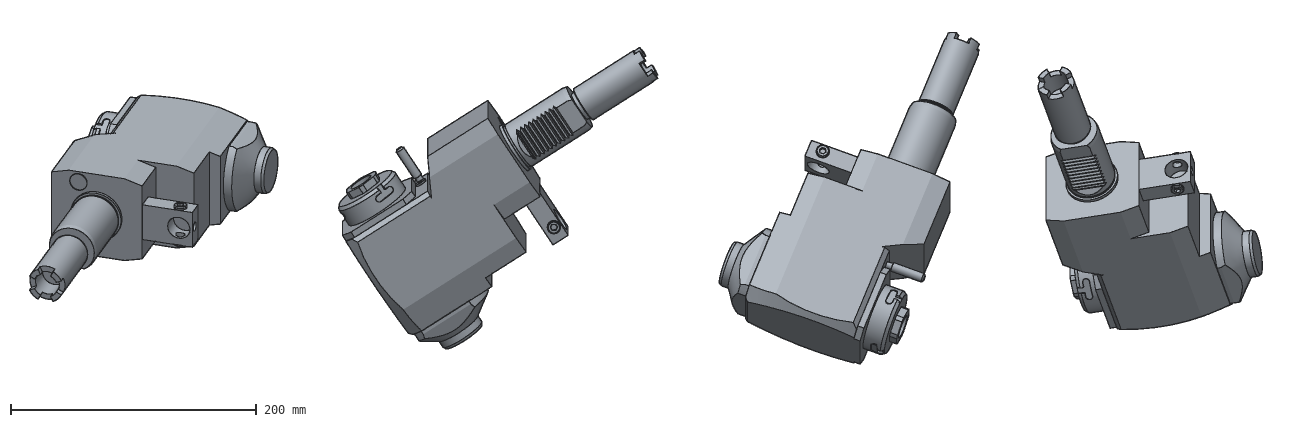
import cadquery as cq
import math

HEIGHT = 75.0
HALF_HEIGHT = HEIGHT / 2
BACK_Y = 153.5
SPINDLE_Y = 119.7
OVERLAP = 1.5

BLOCK_HALF_WIDTH = 39.0
SIDE_SLOPE = math.tan(math.radians(15))
BLOCK_CHAMFER = 15.0
SLANT_START_Y = 58.5
SLANT_END_X = -8.8

HEAD_LEFT = -14.8
HEAD_RIGHT = 81.0
HEAD_FRONT_Y = 34.7
HEAD_STEP_X = 71.5
HEAD_STEP_Y = 74.2
HEAD_LEFT_CHAMFER = 4.0
HEAD_RIGHT_CHAMFER = 24.2
HEAD_CORNER_CHAMFER = 2.8
BACK_CONE_RADIUS = 130.8
BACK_CONE_X = 22.2
BACK_BEVEL = 4.5

PLATE_LEFT = -20.2
PLATE_FRONT_Y = 86.0
PLATE_HALF_HEIGHT = 34.0
PLATE_CORNER = 8.5

NUT_LEFT = -38.0
NUT_RADIUS = 27.5
NUT_CHAMFER_LENGTH = 2.8
NUT_CHAMFER_DEPTH = 2.0
NUT_SLOT_CENTRE_X = -29.5
NUT_SLOT_WIDTH = 5.7
NUT_SLOT_LENGTH = 18.2
NUT_SLOT_DEPTH = 2.3
NUT_GROOVE_WIDTH = 4.8
NUT_SLOT_ANGLES = (29, 149, 269)
HEX_LEFT = -44.3
HEX_ACROSS_FLATS = 27.9
HEX_CORNER_DIAMETER = 30.0
HEX_BORE_DIAMETER = 19.3
HEX_BORE_DEPTH = 6.3

PIN_TIP_X = -47.8
PIN_BACK_X = -20.0
PIN_Y = 80.5
PIN_Z = 17.3
PIN_DIAMETER = 7.5
PIN_CHAMFER = 1.5
PIN_BORE_DIAMETER = 3.5
PIN_BORE_DEPTH = 2.8
PIN_NECK_DIAMETER = 5.7
PLUG_Z = 10.2
PLUG_DIAMETER = 9.5
PLUG_HEIGHT = 1.5
PLUG_HOLE_DIAMETER = 3.5

GUARD_RADIUS = 37.5
GUARD_CYLINDER_END = 88.0
GUARD_CONE_END = 101.0
NOSE_RADIUS = 19.0
NOSE_CHAMFER_START = 107.0
NOSE_END = 109.2
NOSE_TIP_RADIUS = 18.0
GUARD_BACK_FLAT = 29.8
GUARD_FLAT_Z = 29.5
GUARD_FLAT_END = 84.5

COLLAR_RADIUS = 21.5
COLLAR_END_Y = -2.5
SHANK_RADIUS = 20.2
RELIEF_RADIUS = 19.5
RELIEF_END_Y = -4.3
SHANK_CHAMFER_Y = -60.0
SHANK_END_Y = -63.7
SHANK_END_RADIUS = 19.3
NECK_RADIUS = 12.2
NECK_END_Y = -67.0
SPIGOT_RADIUS = 15.0
SPIGOT_EDGE = 0.5
SPIGOT_END_Y = -130.8
SPIGOT_BORE_RADIUS = 10.2
SPIGOT_BORE_DEPTH = 22.7
CLAW_GAP_ROOT_Y = -125.5
CLAW_GAP_ANGLE = 50
CLAW_COUNT = 4

SERRATION_Z = -16.0
SERRATION_FIRST_Y = -12.0
SERRATION_PITCH = 4.0
SERRATION_COUNT = 10
SERRATION_WIDTH = 3.0
SERRATION_DEPTH = 2.0
RAMP_END_Y = -11.5

BRACKET_RIGHT = 82.0
BRACKET_Y = (0.5, 15.3)
BRACKET_HALF_HEIGHT = 16.0
BRACKET_HOLE_X = 70.2
BRACKET_HOLE_DIAMETER = 19.0
SCREW_X = 69.5
SCREW_Y = 6.5
SCREW_DIAMETER = 10.8
SCREW_HEIGHT = 2.3
SCREW_CHAMFER = 0.9
SCREW_SOCKET_DIAMETER = 5.7
SCREW_SOCKET_DEPTH = 2.8
CROSS_DRILL_DIAMETER = 7.5
CROSS_DRILL_HALF_LENGTH = 14.2

INSET_X = -16.0
INSET_Z = 27.9
INSET_DIAMETER = 14.8
INSET_DEPTH = 0.9


def box(x0, x1, y0, y1, z0, z1):
    """Axis-aligned box between the given limits."""
    return cq.Workplane("XY").box(x1 - x0, y1 - y0, z1 - z0, centered=False).translate((x0, y0, z0))


def cylinder_x(x0, x1, y, z, diameter):
    """Cylinder along X between x0 and x1."""
    return cq.Workplane("YZ", origin=(x0, y, z)).circle(diameter / 2).extrude(x1 - x0)


def cylinder_y(y0, y1, x, z, diameter):
    """Cylinder along Y between y0 and y1."""
    return cq.Workplane("XZ", origin=(x, y0, z)).circle(diameter / 2).extrude(y0 - y1)


def chamfered_bar(left, right, left_chamfer, left_drop, right_chamfer, right_drop, y0, y1):
    """Bar along Y of full height with the top and bottom edges bevelled on both sides."""
    top = [
        (left, HALF_HEIGHT - left_drop),
        (left + left_chamfer, HALF_HEIGHT),
        (right - right_chamfer, HALF_HEIGHT),
        (right, HALF_HEIGHT - right_drop),
    ]
    bottom = [(x, -z) for x, z in reversed(top)]
    return cq.Workplane("XZ", origin=(0, y0, 0)).polyline(top + bottom).close().extrude(y0 - y1)


def make_body():
    block_drop = BLOCK_CHAMFER * SIDE_SLOPE
    block = chamfered_bar(
        -BLOCK_HALF_WIDTH, BLOCK_HALF_WIDTH,
        BLOCK_CHAMFER, block_drop, BLOCK_CHAMFER, block_drop, 0, HEAD_STEP_Y,
    )
    head = chamfered_bar(
        HEAD_LEFT, HEAD_RIGHT, HEAD_LEFT_CHAMFER, HEAD_LEFT_CHAMFER,
        HEAD_RIGHT_CHAMFER, HEAD_RIGHT_CHAMFER * SIDE_SLOPE, HEAD_FRONT_Y, BACK_Y,
    )
    head = head.edges("|Z and >X and >Y").chamfer(HEAD_CORNER_CHAMFER)

    waist_radius = BACK_CONE_RADIUS + HALF_HEIGHT
    double_cone = (
        cq.Workplane("XZ")
        .polyline([
            (0, -HALF_HEIGHT), (BACK_CONE_RADIUS, -HALF_HEIGHT), (waist_radius, 0),
            (BACK_CONE_RADIUS, HALF_HEIGHT), (0, HALF_HEIGHT),
        ])
        .close()
        .revolve(360, (0, 0), (0, 1))
        .translate((BACK_CONE_X, BACK_Y - BACK_BEVEL - BACK_CONE_RADIUS, 0))
    )
    head = head.intersect(double_cone)

    shoulder = (
        cq.Workplane("XY", origin=(0, 0, -HALF_HEIGHT))
        .polyline([
            (-BLOCK_HALF_WIDTH, SLANT_START_Y),
            (SLANT_END_X, HEAD_STEP_Y),
            (-BLOCK_HALF_WIDTH, HEAD_STEP_Y),
        ])
        .close()
        .extrude(HEIGHT)
    )
    step = box(HEAD_STEP_X, HEAD_RIGHT, HEAD_FRONT_Y, HEAD_STEP_Y, -HALF_HEIGHT, HALF_HEIGHT)
    inset = cylinder_y(0, INSET_DEPTH, INSET_X, INSET_Z, INSET_DIAMETER)
    return block.union(head).cut(shoulder).cut(step).cut(inset)


def make_plate():
    plate = box(PLATE_LEFT, HEAD_LEFT, PLATE_FRONT_Y, BACK_Y, -PLATE_HALF_HEIGHT, PLATE_HALF_HEIGHT)
    return plate.edges("|X").chamfer(PLATE_CORNER)


def make_nut():
    nut = (
        cq.Workplane("XY")
        .polyline([
            (PLATE_LEFT + OVERLAP, 0),
            (PLATE_LEFT + OVERLAP, NUT_RADIUS),
            (NUT_LEFT + NUT_CHAMFER_LENGTH, NUT_RADIUS),
            (NUT_LEFT, NUT_RADIUS - NUT_CHAMFER_DEPTH),
            (NUT_LEFT, 0),
        ])
        .close()
        .revolve(360, (0, 0), (1, 0))
    )
    floor = NUT_RADIUS - NUT_SLOT_DEPTH
    slot = (
        cq.Workplane("XY", origin=(NUT_SLOT_CENTRE_X, 0, floor))
        .slot2D(NUT_SLOT_LENGTH, NUT_SLOT_WIDTH, 90)
        .extrude(NUT_SLOT_DEPTH)
    )
    groove = box(NUT_LEFT, NUT_SLOT_CENTRE_X, -NUT_GROOVE_WIDTH / 2, NUT_GROOVE_WIDTH / 2, floor, NUT_RADIUS)
    for angle in NUT_SLOT_ANGLES:
        nut = nut.cut(slot.union(groove).rotate((0, 0, 0), (1, 0, 0), angle))

    hexagon = (
        cq.Workplane("YZ", origin=(HEX_LEFT, 0, 0))
        .polygon(6, HEX_ACROSS_FLATS / math.cos(math.pi / 6))
        .extrude(NUT_LEFT + OVERLAP - HEX_LEFT)
        .rotate((0, 0, 0), (1, 0, 0), 30)
        .intersect(cylinder_x(HEX_LEFT, NUT_LEFT + OVERLAP, 0, 0, HEX_CORNER_DIAMETER))
    )
    bore = cylinder_x(HEX_LEFT, HEX_LEFT + HEX_BORE_DEPTH, 0, 0, HEX_BORE_DIAMETER)
    return nut.union(hexagon).cut(bore).translate((0, SPINDLE_Y, 0))


def make_pin_and_plug():
    pin = cylinder_x(PIN_TIP_X, PIN_BACK_X, PIN_Y, PIN_Z, PIN_DIAMETER).faces("<X").chamfer(PIN_CHAMFER)
    pin_bore = cylinder_x(PIN_TIP_X, PIN_TIP_X + PIN_BORE_DEPTH, PIN_Y, PIN_Z, PIN_BORE_DIAMETER)
    neck = cylinder_x(PIN_BACK_X, HEAD_LEFT + OVERLAP, PIN_Y, PIN_Z, PIN_NECK_DIAMETER)
    plug_face = HEAD_LEFT - PLUG_HEIGHT
    plug = cylinder_x(plug_face, HEAD_LEFT + OVERLAP, PIN_Y, PLUG_Z, PLUG_DIAMETER)
    plug_hole = cylinder_x(plug_face, HEAD_LEFT, PIN_Y, PLUG_Z, PLUG_HOLE_DIAMETER)
    return pin.cut(pin_bore).union(neck).union(plug.cut(plug_hole))


def make_guard():
    start = HEAD_RIGHT - OVERLAP
    guard = (
        cq.Workplane("XY")
        .polyline([
            (start, 0), (start, GUARD_RADIUS), (GUARD_CYLINDER_END, GUARD_RADIUS),
            (GUARD_CONE_END, NOSE_RADIUS), (NOSE_CHAMFER_START, NOSE_RADIUS),
            (NOSE_END, NOSE_TIP_RADIUS), (NOSE_END, 0),
        ])
        .close()
        .revolve(360, (0, 0), (1, 0))
    )
    end_z = GUARD_FLAT_Z - (NOSE_END - GUARD_FLAT_END) * SIDE_SLOPE
    top = [(start, GUARD_FLAT_Z), (GUARD_FLAT_END, GUARD_FLAT_Z), (NOSE_END, end_z)]
    bottom = [(x, -z) for x, z in reversed(top)]
    envelope = (
        cq.Workplane("XZ", origin=(0, GUARD_BACK_FLAT, 0))
        .polyline(top + bottom)
        .close()
        .extrude(GUARD_BACK_FLAT + GUARD_RADIUS)
    )
    return guard.intersect(envelope).translate((0, SPINDLE_Y, 0))


def make_shank():
    shank = (
        cq.Workplane("XY")
        .polyline([
            (0, OVERLAP), (COLLAR_RADIUS, OVERLAP), (COLLAR_RADIUS, COLLAR_END_Y),
            (RELIEF_RADIUS, COLLAR_END_Y), (RELIEF_RADIUS, RELIEF_END_Y),
            (SHANK_RADIUS, RELIEF_END_Y), (SHANK_RADIUS, SHANK_CHAMFER_Y),
            (SHANK_END_RADIUS, SHANK_END_Y), (NECK_RADIUS, SHANK_END_Y),
            (NECK_RADIUS, NECK_END_Y), (SPIGOT_RADIUS - SPIGOT_EDGE, NECK_END_Y),
            (SPIGOT_RADIUS, NECK_END_Y - SPIGOT_EDGE), (SPIGOT_RADIUS, SPIGOT_END_Y),
            (0, SPIGOT_END_Y),
        ])
        .close()
        .revolve(360, (0, 0), (0, 1))
    )
    shank = shank.cut(
        cylinder_y(SPIGOT_END_Y, SPIGOT_END_Y + SPIGOT_BORE_DEPTH, 0, 0, 2 * SPIGOT_BORE_RADIUS)
    )

    half_gap = SPIGOT_RADIUS * math.tan(math.radians(CLAW_GAP_ANGLE / 2))
    gap = (
        cq.Workplane("XZ", origin=(0, SPIGOT_END_Y, 0))
        .polyline([(0, 0), (SPIGOT_RADIUS, half_gap), (SPIGOT_RADIUS, -half_gap)])
        .close()
        .extrude(SPIGOT_END_Y - CLAW_GAP_ROOT_Y)
    )
    for i in range(CLAW_COUNT):
        shank = shank.cut(gap.rotate((0, 0, 0), (0, 1, 0), i * 360 / CLAW_COUNT))

    ramp_length = SHANK_RADIUS + SERRATION_Z
    flat = (
        cq.Workplane("YZ", origin=(-SHANK_RADIUS, 0, 0))
        .polyline([
            (RAMP_END_Y + ramp_length, -SHANK_RADIUS), (RAMP_END_Y, SERRATION_Z),
            (SHANK_END_Y, SERRATION_Z), (SHANK_END_Y, -SHANK_RADIUS),
        ])
        .close()
        .extrude(2 * SHANK_RADIUS)
    )
    shank = shank.cut(flat)
    for i in range(SERRATION_COUNT):
        y = SERRATION_FIRST_Y - i * SERRATION_PITCH
        groove = (
            cq.Workplane("YZ", origin=(-SHANK_RADIUS, 0, 0))
            .polyline([
                (y - SERRATION_WIDTH / 2, SERRATION_Z), (y, SERRATION_Z + SERRATION_DEPTH),
                (y + SERRATION_WIDTH / 2, SERRATION_Z),
            ])
            .close()
            .extrude(2 * SHANK_RADIUS)
        )
        shank = shank.cut(groove)
    return shank


def make_bracket():
    bracket = box(
        BLOCK_HALF_WIDTH - OVERLAP, BRACKET_RIGHT, *BRACKET_Y, -BRACKET_HALF_HEIGHT, BRACKET_HALF_HEIGHT
    )
    screw_top = BRACKET_HALF_HEIGHT + SCREW_HEIGHT
    screw = (
        cq.Workplane("XY", origin=(SCREW_X, SCREW_Y, BRACKET_HALF_HEIGHT))
        .circle(SCREW_DIAMETER / 2)
        .extrude(SCREW_HEIGHT)
        .faces(">Z")
        .chamfer(SCREW_CHAMFER)
    )
    socket = (
        cq.Workplane("XY", origin=(SCREW_X, SCREW_Y, screw_top - SCREW_SOCKET_DEPTH))
        .polygon(6, SCREW_SOCKET_DIAMETER)
        .extrude(SCREW_SOCKET_DEPTH)
    )
    bracket = bracket.union(screw).union(screw.mirror("XY")).cut(socket).cut(socket.mirror("XY"))

    upright_drill = (
        cq.Workplane("XY", origin=(SCREW_X, SCREW_Y, -CROSS_DRILL_HALF_LENGTH))
        .circle(CROSS_DRILL_DIAMETER / 2)
        .extrude(2 * CROSS_DRILL_HALF_LENGTH)
    )
    end_drill = cylinder_x(BRACKET_HOLE_X, BRACKET_RIGHT, SCREW_Y, 0, CROSS_DRILL_DIAMETER)
    bracket = bracket.cut(upright_drill).cut(end_drill)
    return bracket.cut(cylinder_y(*BRACKET_Y, BRACKET_HOLE_X, 0, BRACKET_HOLE_DIAMETER))


result = make_body()
for piece in (make_plate(), make_nut(), make_pin_and_plug(), make_guard(), make_shank(), make_bracket()):
    result = result.union(piece)